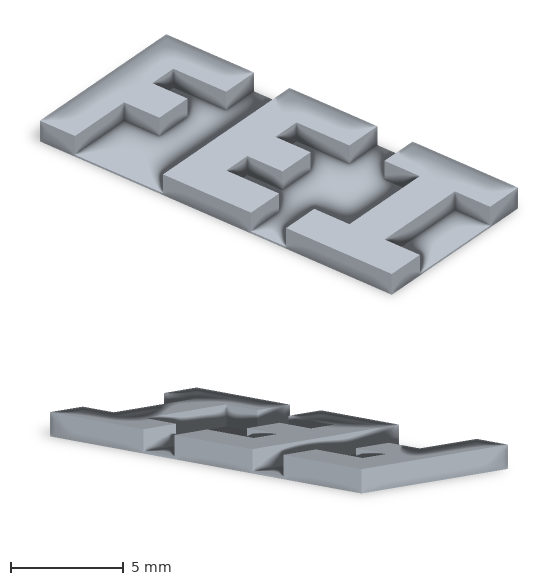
import cadquery as cq

plate_length = 20.0
letter_height = 9.0
base_thickness = 0.1
total_thickness = 1.1

stroke = 2.0
arm_length = 5.0
middle_arm_length = 4.0
letter_gap = 2.0
serif_width = 6.0

f_left = 0.0
e_left = f_left + arm_length + letter_gap
i_left = e_left + arm_length + letter_gap

top_arm_bottom = letter_height - stroke
middle_arm_bottom = (letter_height - stroke) / 2


def block(left, bottom, width, depth, height=total_thickness):
    """Box standing on the XY plane with its lower-left corner at (left, bottom)."""
    return cq.Workplane("XY").box(width, depth, height, centered=False).translate((left, bottom, 0))


def letter_f(left):
    stem = block(left, 0, stroke, letter_height)
    top_arm = block(left, top_arm_bottom, arm_length, stroke)
    middle_arm = block(left, middle_arm_bottom, middle_arm_length, stroke)
    return stem.union(top_arm).union(middle_arm)


def letter_e(left):
    bottom_arm = block(left, 0, arm_length, stroke)
    return letter_f(left).union(bottom_arm)


def letter_i(left):
    stem_left = left + (serif_width - stroke) / 2
    letter = block(stem_left, 0, stroke, letter_height)
    for serif_bottom in (0, top_arm_bottom):
        letter = letter.union(block(left, serif_bottom, serif_width, stroke))
    return letter


base = block(0, 0, plate_length, letter_height, base_thickness)
result = base.union(letter_f(f_left)).union(letter_e(e_left)).union(letter_i(i_left)).clean()